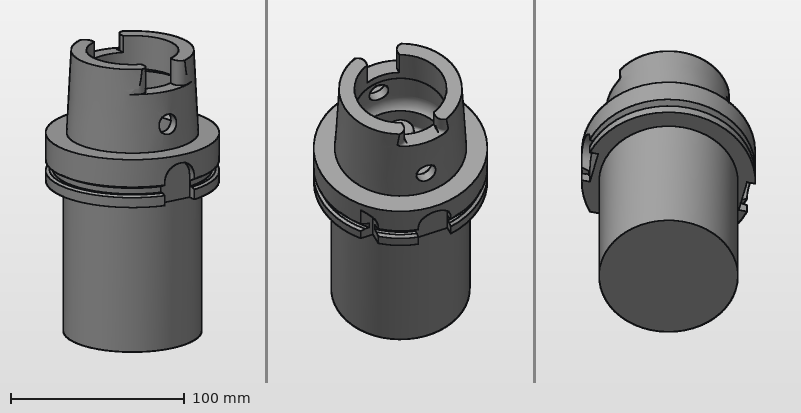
import cadquery as cq
import math


cut_clearance = 1.0
join_overlap = 1.0

flange_radius = 50.0
flange_thickness = 29.0
shank_radius = 40.0
shank_bottom_z = -120.0
taper_height = 49.9
taper_base_radius = 37.95
taper_top_radius = 35.4

groove_mouth_top_z = -16.6
groove_floor_top_z = -18.6
groove_floor_bottom_z = -22.05
groove_mouth_bottom_z = -23.0
groove_step_radius = 47.9
groove_floor_radius = 46.0

bore_radius = 53.06 / 2
bore_depth = 20.0
undercut_radius = 63.09 / 2
clamp_slope = 30.0
undercut_bottom_z = 9.7
undercut_fillet = 8.0
well_floor_z = -11.0
well_floor_fillet = 1.6

spigot_radius = 8.0
spigot_cone_z = 12.5
spigot_neck_radius = 7.6
spigot_top_z = 15.9
spigot_fillet = 1.3

cross_hole_diameter = 12.0
cross_hole_z = 15.2

drive_slot_width = 20.0
shallow_slot_depth = 10.0
deep_slot_depth = 15.0
lug_corner_radius = 4.9
lug_end_x = 32.2
lug_exit_angle = 30.0
lug_exit_length = 10.0
relief_floor_fillet = 1.6

keyway_width = 20.4
keyway_top_z = -4.7
keyway_floor_x = 44.0
notch_center_y = 41.3
notch_floor_x = 31.5


def make_body():
    """Solid of revolution: shank, flange and taper."""
    outline = [
        (0, shank_bottom_z),
        (shank_radius, shank_bottom_z),
        (shank_radius, -flange_thickness),
        (flange_radius, -flange_thickness),
        (flange_radius, 0),
        (taper_base_radius, 0),
        (taper_top_radius, taper_height),
        (0, taper_height),
    ]
    return cq.Workplane("XZ").polyline(outline).close().revolve(360, (0, 0), (0, 1))


def make_gripper_groove():
    """Ring cutter for the flange groove, with a flat step at the foot of its lower flank."""
    outline = [
        (groove_floor_radius, groove_floor_bottom_z),
        (groove_step_radius, groove_floor_bottom_z),
        (flange_radius, groove_mouth_bottom_z),
        (flange_radius, groove_mouth_top_z),
        (groove_floor_radius, groove_floor_top_z),
    ]
    return cq.Workplane("XZ").polyline(outline).close().revolve(360, (0, 0), (0, 1))


def make_cavity():
    """Bore that opens into the clamping undercut, rounds back in and ends in a filleted well."""
    shoulder_z = taper_height - bore_depth
    undercut_depth = undercut_radius - bore_radius
    clamp_height = undercut_depth * math.tan(math.radians(clamp_slope))
    fillet_reach = undercut_fillet - undercut_depth
    ledge_z = undercut_bottom_z - math.sqrt(undercut_fillet**2 - fillet_reach**2)
    return (
        cq.Workplane("XZ")
        .moveTo(0, well_floor_z)
        .lineTo(bore_radius - well_floor_fillet, well_floor_z)
        .tangentArcPoint((well_floor_fillet, well_floor_fillet))
        .lineTo(bore_radius, ledge_z)
        .radiusArc((undercut_radius, undercut_bottom_z), -undercut_fillet)
        .lineTo(undercut_radius, shoulder_z - clamp_height)
        .lineTo(bore_radius, shoulder_z)
        .lineTo(bore_radius, taper_height)
        .lineTo(0, taper_height)
        .close()
        .revolve(360, (0, 0), (0, 1))
    )


def make_spigot():
    """Round spigot with a slightly conical neck and a rounded top edge."""
    fillet_z = spigot_top_z - spigot_fillet
    fillet_center_x = spigot_neck_radius - spigot_fillet
    diagonal = spigot_fillet * math.sqrt(0.5)
    foot_z = well_floor_z - join_overlap
    return (
        cq.Workplane("XZ")
        .moveTo(0, foot_z)
        .lineTo(spigot_radius, foot_z)
        .lineTo(spigot_radius, spigot_cone_z)
        .lineTo(spigot_neck_radius, fillet_z)
        .threePointArc(
            (fillet_center_x + diagonal, fillet_z + diagonal),
            (fillet_center_x, spigot_top_z),
        )
        .lineTo(0, spigot_top_z)
        .close()
        .revolve(360, (0, 0), (0, 1))
    )


def make_cross_hole():
    """Cylinder along X through both walls of the taper."""
    return (
        cq.Workplane("YZ")
        .center(0, cross_hole_z)
        .circle(cross_hole_diameter / 2)
        .extrude(flange_radius, both=True)
    )


def make_drive_slot(depth, floor_fillet):
    """Cutter for the +X rim slot, flaring outwards around the rounded lug ends."""
    half_width = drive_slot_width / 2
    corner_x = lug_end_x - lug_corner_radius
    corner_y = half_width + lug_corner_radius
    exit_angle = math.radians(lug_exit_angle)
    exit_x = corner_x + lug_corner_radius * math.cos(exit_angle)
    exit_y = corner_y + lug_corner_radius * math.sin(exit_angle)
    end_x = exit_x - lug_exit_length * math.sin(exit_angle)
    end_y = exit_y + lug_exit_length * math.cos(exit_angle)
    floor_plane = cq.Workplane("XY").workplane(offset=taper_height - depth)
    relief = (
        floor_plane.moveTo(0, -half_width)
        .lineTo(corner_x, -half_width)
        .tangentArcPoint((exit_x, -exit_y), relative=False)
        .lineTo(end_x, -end_y)
        .lineTo(flange_radius, -end_y)
        .lineTo(flange_radius, end_y)
        .lineTo(end_x, end_y)
        .lineTo(exit_x, exit_y)
        .tangentArcPoint((corner_x, half_width), relative=False)
        .lineTo(0, half_width)
        .close()
        .extrude(depth)
    )
    if floor_fillet:
        relief = relief.faces("<Z").edges().fillet(floor_fillet)
    channel = floor_plane.rect(flange_radius, drive_slot_width).extrude(depth)
    channel = channel.translate((flange_radius / 2, 0, 0))
    return relief.union(channel)


def make_flange_slot(center_y, floor_x):
    """Cutter for a round-topped slot on the -X side, open through the flange's lower face."""
    radius = keyway_width / 2
    arc_center_z = keyway_top_z - radius
    return (
        cq.Workplane("YZ")
        .workplane(offset=-floor_x)
        .moveTo(center_y - radius, -flange_thickness)
        .lineTo(center_y - radius, arc_center_z)
        .threePointArc((center_y, keyway_top_z), (center_y + radius, arc_center_z))
        .lineTo(center_y + radius, -flange_thickness)
        .close()
        .extrude(floor_x - flange_radius - cut_clearance)
    )


def turned_half(cutter):
    """The same cutter turned to the opposite side of the axis."""
    return cutter.rotate((0, 0, 0), (0, 0, 1), 180)


keyway = make_flange_slot(0, keyway_floor_x)

result = make_body().cut(make_gripper_groove())
result = result.cut(make_cavity())
result = result.cut(make_cross_hole())
result = result.union(make_spigot())
result = result.cut(make_drive_slot(deep_slot_depth, 0))
result = result.cut(turned_half(make_drive_slot(shallow_slot_depth, relief_floor_fillet)))
result = result.cut(keyway)
result = result.cut(turned_half(keyway))
result = result.cut(make_flange_slot(notch_center_y, notch_floor_x))